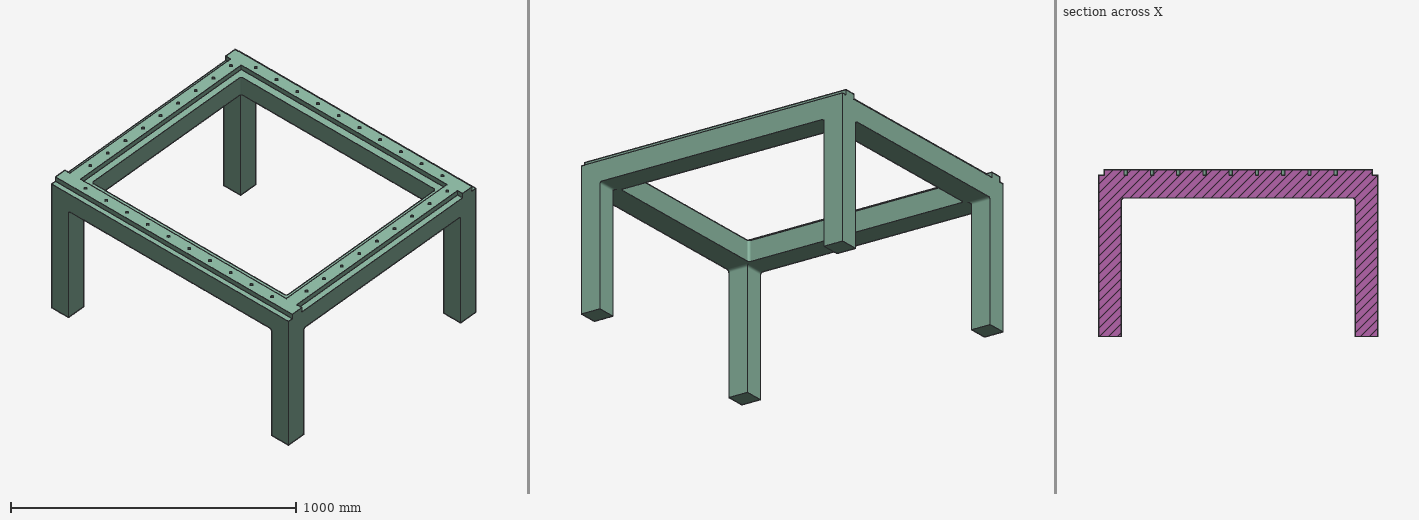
import cadquery as cq

length = 1120.0
width = 980.0
height = 586.19

leg_side = 80.0
rail_width = 100.0
rail_height = 100.0
arch_radius = 10.0
opening_radius = 10.0

strip_width = 50.0
strip_height = 20.0
long_ledge = 20.0
end_ledge = 23.75
recess_length = length - 2 * (end_ledge + strip_width)
recess_width = width - 2 * (long_ledge + strip_width)

hole_diameter = 10.0
hole_depth = 20.0
long_hole_count = 10
long_hole_pitch = 98.0
long_hole_margin = 120.0
end_hole_count = 9
end_hole_pitch = 92.0
end_hole_margin = 96.0

long_hole_y = width / 2 - long_ledge - strip_width / 2
end_hole_x = length / 2 - end_ledge - strip_width / 2


def box_on(size_x, size_y, bottom, top):
    """Box centred on the Z axis, between two heights."""
    return cq.Workplane("XY").workplane(offset=bottom).rect(size_x, size_y).extrude(top - bottom)


def make_table():
    """Solid block with a rounded arch cut through each way, leaving four legs under a frame."""
    arch_top = height - rail_height
    arch_along_y = box_on(length - 2 * leg_side, width, 0, arch_top).edges("|Y and >Z")
    arch_along_x = box_on(length, width - 2 * leg_side, 0, arch_top).edges("|X and >Z")
    opening = box_on(length - 2 * rail_width, width - 2 * rail_width, 0, height).edges("|Z")
    return (
        box_on(length, width, 0, height)
        .cut(arch_along_y.fillet(arch_radius))
        .cut(arch_along_x.fillet(arch_radius))
        .cut(opening.fillet(opening_radius))
    )


def cut_strip_steps(body):
    """Lower the inner rim and the outer ledges so that the mounting strip stands proud."""
    ledge_level = height - strip_height
    body = body.cut(box_on(recess_length, recess_width, ledge_level, height))
    long_step = box_on(length, long_ledge, ledge_level, height)
    end_step = box_on(end_ledge, recess_width, ledge_level, height)
    for side in (-1, 1):
        body = body.cut(long_step.translate((0, side * (width - long_ledge) / 2, 0)))
        body = body.cut(end_step.translate((side * (length - end_ledge) / 2, 0, 0)))
    return body


def hole_points():
    """Hole centres on the two long strips and the two end strips."""
    first_long_x = long_hole_margin - length / 2
    first_end_y = width / 2 - end_hole_margin
    points = []
    for side in (-1, 1):
        for i in range(long_hole_count):
            points.append((first_long_x + i * long_hole_pitch, side * long_hole_y))
        for i in range(end_hole_count):
            points.append((side * end_hole_x, first_end_y - i * end_hole_pitch))
    return points


def drill_holes(body):
    """Blind screw holes from the top of the strip."""
    holes = (
        cq.Workplane("XY")
        .workplane(offset=height - hole_depth)
        .pushPoints(hole_points())
        .circle(hole_diameter / 2)
        .extrude(hole_depth)
    )
    return body.cut(holes)


result = drill_holes(cut_strip_steps(make_table()))